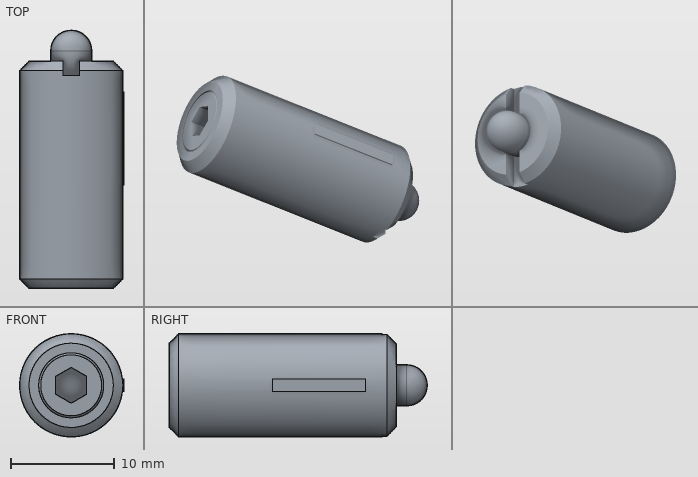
import cadquery as cq
import math


body_diameter = 10.0
body_length = 22.0
thread_pitch = 1.5
thread_depth = 0.6134 * thread_pitch

pin_diameter = 4.0
pin_projection = 3.0

plug_diameter = 6.3
plug_chamfer = 0.2

hex_across_flats = 3.0
hex_depth = 3.0

slot_width = 1.6
slot_depth = 1.4

strip_height = 0.1
strip_width = 1.2
strip_start = 10.0
strip_length = 9.0
strip_sink = 1.0

body_radius = body_diameter / 2
pin_radius = pin_diameter / 2
plug_radius = plug_diameter / 2
slot_floor = body_length - slot_depth


def make_body():
    """Cylinder along +Y with both ends chamfered."""
    body = cq.Workplane("XZ").circle(body_radius).extrude(-body_length)
    return body.faces("<Y or >Y").chamfer(thread_depth)


def make_slot():
    """Cutter for the slot that crosses the pin end along Z."""
    return (
        cq.Workplane("XY")
        .box(slot_width, slot_depth, body_diameter, centered=(True, False, True))
        .translate((0, slot_floor, 0))
    )


def make_pin():
    """Round-nosed pin, solid from the slot floor to the tip."""
    tip = body_length + pin_projection
    nose_center = tip - pin_radius
    nose_offset = pin_radius * math.sqrt(0.5)
    return (
        cq.Workplane("XY")
        .moveTo(0, slot_floor)
        .lineTo(pin_radius, slot_floor)
        .lineTo(pin_radius, nose_center)
        .threePointArc((nose_offset, nose_center + nose_offset), (0, tip))
        .close()
        .revolve(360, (0, 0, 0), (0, 1, 0))
    )


def make_plug_groove():
    """Ring cutter that leaves the plug rim chamfered inside a straight-walled recess."""
    return (
        cq.Workplane("XY")
        .moveTo(plug_radius - plug_chamfer, 0)
        .lineTo(plug_radius, 0)
        .lineTo(plug_radius, plug_chamfer)
        .close()
        .revolve(360, (0, 0, 0), (0, 1, 0))
    )


def make_hex_socket():
    """Hexagonal cutter with two flats facing +X and -X."""
    across_corners = hex_across_flats / math.cos(math.pi / 6)
    hexagon = cq.Workplane("XZ").transformed(rotate=(0, 0, 90)).polygon(6, across_corners)
    return hexagon.extrude(-hex_depth)


def make_strip():
    """Flat-topped rectangular strip, sunk into the body so that only its top stands proud."""
    strip_base_x = body_radius - strip_sink
    return (
        cq.Workplane("XY", origin=(strip_base_x, strip_start, 0))
        .box(strip_sink + strip_height, strip_length, strip_width, centered=(False, False, True))
    )


result = (
    make_body()
    .cut(make_slot())
    .union(make_pin())
    .union(make_strip())
    .cut(make_plug_groove())
    .cut(make_hex_socket())
)